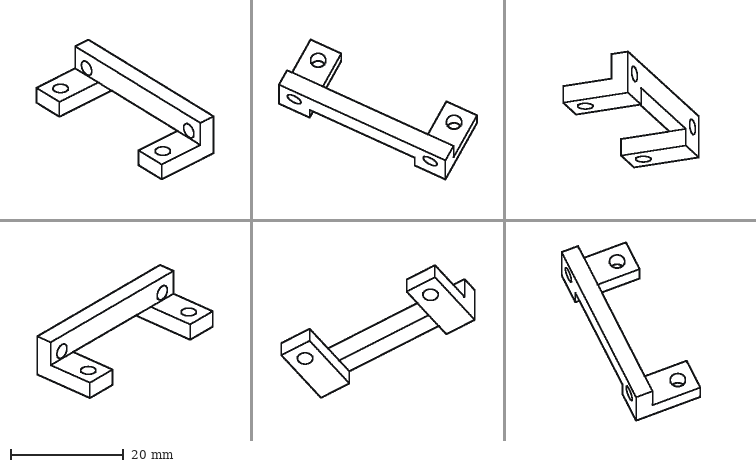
import cadquery as cq

length = 33.02
depth = 12.43
height = 7.87

thickness = 3.18
foot_width = 6.10

hole_diameter = 2.70
hole_from_edge = 3.035
bar_hole_below_top = 3.165

bar_front_y = depth - thickness
bar_hole_z = height - bar_hole_below_top
hole_xs = [hole_from_edge, length - hole_from_edge]


def make_bar():
    """Upright bar along the back, resting at the level of the foot tops."""
    bar = cq.Workplane("XY").box(length, thickness, height - thickness, centered=False)
    return bar.translate((0, bar_front_y, thickness))


def make_foot(left_x):
    """Flat foot running the full depth, under one end of the bar."""
    foot = cq.Workplane("XY").box(foot_width, depth, thickness, centered=False)
    return foot.translate((left_x, 0, 0))


def make_bar_hole(x):
    """Cutter along Y through the bar."""
    start = cq.Vector(x, bar_front_y, bar_hole_z)
    return cq.Solid.makeCylinder(hole_diameter / 2, thickness, start, cq.Vector(0, 1, 0))


def make_foot_hole(x):
    """Cutter along Z through a foot."""
    start = cq.Vector(x, hole_from_edge, 0)
    return cq.Solid.makeCylinder(hole_diameter / 2, thickness, start, cq.Vector(0, 0, 1))


result = make_bar()
for foot_left_x in (0, length - foot_width):
    result = result.union(make_foot(foot_left_x))
result = result.clean()

for hole_x in hole_xs:
    result = result.cut(make_bar_hole(hole_x))
    result = result.cut(make_foot_hole(hole_x))